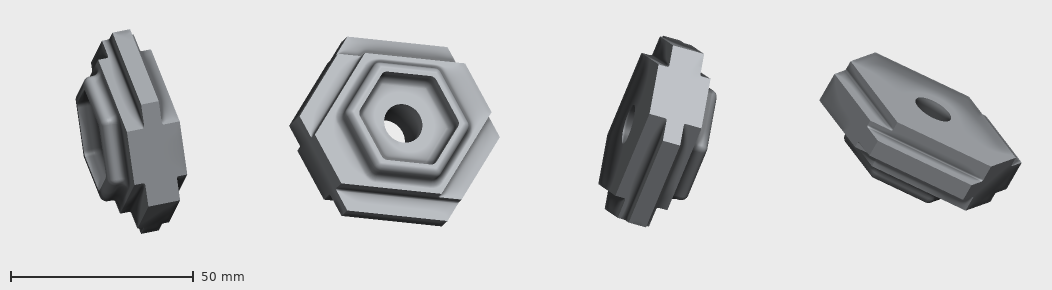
import cadquery as cq
import math

across_corners = 57.75
flats_to_corners = math.cos(math.radians(30))
across_flats = across_corners * flats_to_corners
body_depth = 15.0
overall_depth = 20.0
boss_height = overall_depth - body_depth
hole_diameter = 11.0

rebate_width = 5.9
deep_rebate = body_depth / 3
shallow_rebate = body_depth / 5
rebate_root_radius = 0.5
deep_pair_angle = 0
shallow_pair_angle = -60

rim_across_flats = 31.4
rim_radius = 2.0
rim_land = 1.0
pocket_across_flats = rim_across_flats - 2 * (rim_radius + rim_land)
pocket_depth = boss_height


def hexagon_prism(flats, depth, start_y):
    """Hexagonal prism with corners on the X axis, running from start_y toward -Y."""
    corners = flats / flats_to_corners
    return cq.Workplane("XZ", origin=(0, start_y, 0)).polygon(6, corners).extrude(depth)


def rebate_cutter(depth, side):
    """Block that cuts the front (side=-1) or back (side=+1) of the body along its top flat."""
    inner_side = "<Y" if side > 0 else ">Y"
    block = cq.Workplane("XY").box(across_corners, depth, rebate_width)
    block = block.edges("|X and <Z and " + inner_side).fillet(rebate_root_radius)
    center_y = side * (body_depth - depth) / 2
    center_z = (across_flats - rebate_width) / 2
    return block.translate((0, center_y, center_z))


def cut_rebates(solid, depth, angle):
    """Rebate both faces along two opposite flats; angle turns the pair about the Y axis."""
    for turn in (angle, angle + 180):
        for side in (-1, 1):
            cutter = rebate_cutter(depth, side).rotate((0, 0, 0), (0, 1, 0), turn)
            solid = solid.cut(cutter)
    return solid


front_y = -body_depth / 2
rim_y = front_y - boss_height

body = hexagon_prism(across_flats, body_depth, body_depth / 2)

rim = hexagon_prism(rim_across_flats, boss_height, front_y)
rim = rim.edges("|Y or <Y").fillet(rim_radius)

part = body.union(rim)
front_face = part.faces("|Y").faces("<Y[1]").val()
foot_edges = front_face.innerWires()[0].Edges()
part = part.newObject(foot_edges).fillet(rim_radius)

pocket = hexagon_prism(pocket_across_flats, pocket_depth, rim_y + pocket_depth)
pocket = pocket.edges("|Y or >Y").fillet(rim_radius)
part = part.cut(pocket)

part = cut_rebates(part, deep_rebate, deep_pair_angle)
part = cut_rebates(part, shallow_rebate, shallow_pair_angle)

hole = cq.Workplane("XZ").circle(hole_diameter / 2).extrude(overall_depth, both=True)
result = part.cut(hole)